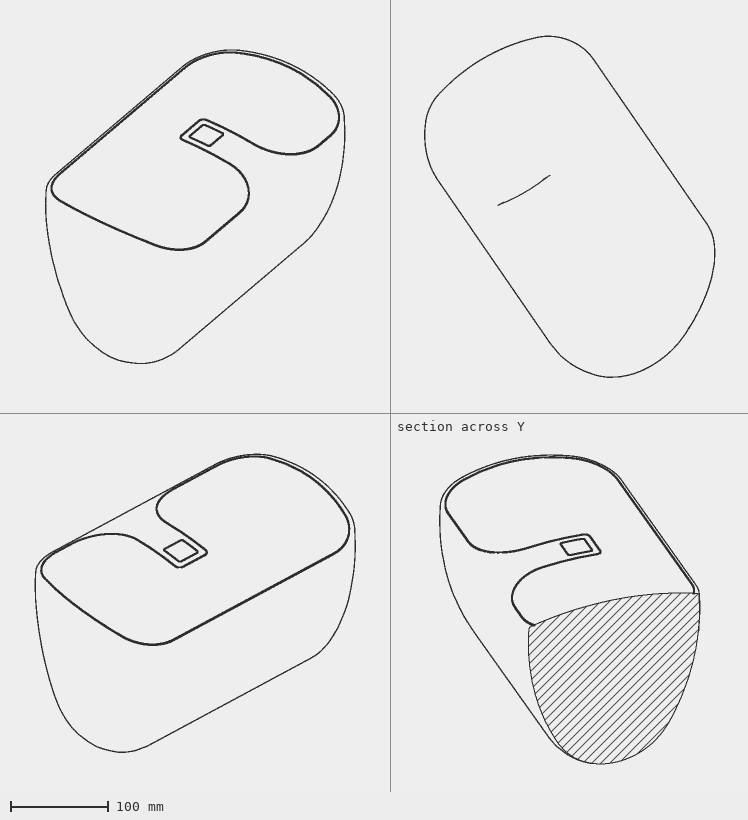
import math

import cadquery as cq

selection_margin = 0.5

half_width = 98.0
half_length = 164.81
height = 200.72
top_z = 35.2
bottom_z = top_z - height

side_radius = 258.0
side_centre_x = half_width - side_radius
belly_radius = (side_radius**2 - side_centre_x**2 - bottom_z**2) / (2 * (side_radius + bottom_z))
belly_centre_z = bottom_z + belly_radius

blank_overrun = 20.0
blank_top_overrun = 5.0
blank_top_z = top_z + blank_top_overrun

end_plan_radius = 229.0
end_upper_radius = 800.0
end_draft_start = 9.0
end_draft_upper_z = -30.0
end_draft_lower_z = -100.0
end_draft = math.radians(3.0)
corner_radius = 50.0

dome_radius = 338.0
dome_centre_z = top_z - dome_radius
rim_fillet = 3.2

groove_width = 1.0
groove_depth = 1.0
panel_inset = 5.0
panel_end_inset = 6.0
panel_corner_radius = corner_radius - panel_inset
tab_centre_y = 19.2
tab_width = 39.5
tab_end_x = -20.0
tab_end_radius = 5.0
tab_flare_radius = 48.0
button_length = 27.0
button_width = 26.0
button_corner_radius = 2.5
button_groove_width = 0.8

recess_half_length = 88.0
recess_z = -152.8
recess_corner_radius = 5.0
recess_edge_fillet = 3.0


def side_x(z):
    """Half-width of the bulging side at height z."""
    return side_centre_x + math.sqrt(side_radius**2 - z**2)


def body_prism():
    """Cross-section run along Y, longer than the finished body."""
    join_angle = math.atan2(belly_centre_z, -side_centre_x)
    join_x = side_centre_x + side_radius * math.cos(join_angle)
    join_z = side_radius * math.sin(join_angle)
    middle_z = (blank_top_z + join_z) / 2
    top_x = side_x(blank_top_z)
    return (
        cq.Workplane("XZ")
        .moveTo(-top_x, blank_top_z)
        .lineTo(top_x, blank_top_z)
        .threePointArc((side_x(middle_z), middle_z), (join_x, join_z))
        .threePointArc((0, bottom_z), (-join_x, join_z))
        .threePointArc((-side_x(middle_z), middle_z), (-top_x, blank_top_z))
        .close()
        .extrude(half_length + blank_overrun, both=True)
    )


def end_barrel(direction):
    """Turned solid whose outer face is the end wall on the +Y or -Y side."""
    floor_z = bottom_z - blank_overrun
    ceiling_z = blank_top_z + blank_overrun
    ceiling_r = end_plan_radius - end_upper_radius + math.sqrt(end_upper_radius**2 - ceiling_z**2)

    def drafted_point(z):
        return (end_plan_radius + (z + end_draft_start) * math.tan(end_draft), z)

    wall_points = [
        drafted_point(end_draft_lower_z),
        drafted_point(end_draft_upper_z),
        (end_plan_radius, 0),
        (ceiling_r, ceiling_z),
    ]
    return (
        cq.Workplane("XZ")
        .moveTo(0, floor_z)
        .lineTo(*drafted_point(floor_z))
        .spline(wall_points, includeCurrent=True)
        .lineTo(0, ceiling_z)
        .close()
        .revolve(360, (0, 0, 0), (0, 1, 0))
        .translate((0, direction * (half_length - end_plan_radius), 0))
    )


def dome(radius):
    """Cylinder along Y that the top surface lies on."""
    return (
        cq.Workplane("XZ")
        .center(0, dome_centre_z)
        .circle(radius)
        .extrude(2 * half_length, both=True)
    )


def rounded_body():
    """Prism closed by the two end walls, with the wall outlines rounded."""
    body = body_prism()
    for direction in (1, -1):
        body = body.intersect(end_barrel(direction))
    return body.edges().filter(is_end_outline).fillet(corner_radius)


def is_end_outline(edge):
    """True for edges where an end wall meets the sides or the belly."""
    box = edge.BoundingBox()
    is_belly = box.zmin < bottom_z + selection_margin
    is_side = box.zlen > selection_margin and box.ylen < half_length
    return is_belly or is_side


def panel_plan():
    """Plan block of the top panel: bowed ends, with a tab notched in from the +X side."""
    panel_x = half_width - panel_inset
    panel_y = half_length - panel_end_inset
    bow_radius = end_plan_radius - panel_inset
    corner_y = panel_y - bow_radius + math.sqrt(bow_radius**2 - panel_x**2)
    blank = (
        cq.Workplane("XY")
        .moveTo(panel_x, -corner_y)
        .lineTo(panel_x, corner_y)
        .threePointArc((0, panel_y), (-panel_x, corner_y))
        .lineTo(-panel_x, -corner_y)
        .threePointArc((0, -panel_y), (panel_x, -corner_y))
        .close()
        .extrude(height)
        .edges("|Z")
        .fillet(panel_corner_radius)
    )
    tab_length = 2 * half_width
    tab = (
        cq.Workplane("XY")
        .center(tab_end_x + tab_length / 2, tab_centre_y)
        .rect(tab_length, tab_width)
        .extrude(height)
        .edges("|Z and <X")
        .fillet(tab_end_radius)
    )
    flare_edges = cq.selectors.BoxSelector(
        (panel_x - selection_margin, tab_centre_y - tab_width, 0),
        (panel_x + selection_margin, tab_centre_y + tab_width, height),
    )
    return blank.cut(tab).edges("|Z").edges(flare_edges).fillet(tab_flare_radius)


def button_plan():
    """Plan block of the square button on the tab."""
    return (
        cq.Workplane("XY")
        .center(0, tab_centre_y)
        .rect(button_length, button_width)
        .extrude(height)
        .edges("|Z")
        .fillet(button_corner_radius)
    )


def outline_groove(plan, width):
    """Groove of even depth just inside the outline of a plan block."""
    inner = plan.faces(">Z").wires().toPending().offset2D(-width).extrude(-height, combine=False)
    top_skin = dome(dome_radius + groove_depth).cut(dome(dome_radius - groove_depth))
    return plan.cut(inner).intersect(top_skin)


def underside_recess():
    """Block, running right across X, that leaves a foot at each end."""
    block_height = recess_z - bottom_z + blank_overrun
    return (
        cq.Workplane("XY")
        .box(4 * half_width, 2 * recess_half_length, block_height)
        .edges("|X and >Z")
        .fillet(recess_corner_radius)
        .translate((0, 0, recess_z - block_height / 2))
    )


def cut_recess(body):
    """Cut the underside recess and round the edge where it meets the belly."""
    recess_space = cq.selectors.BoxSelector(
        (-half_width, -recess_half_length - selection_margin, bottom_z - selection_margin),
        (half_width, recess_half_length + selection_margin, recess_z + selection_margin),
    )
    recessed = body.cut(underside_recess())
    return recessed.edges(recess_space).edges("not |X").fillet(recess_edge_fillet)


body = rounded_body().intersect(dome(dome_radius))
body = body.faces(">Z").edges().fillet(rim_fillet)
body = cut_recess(body)
body = body.cut(outline_groove(panel_plan(), groove_width))
result = body.cut(outline_groove(button_plan(), button_groove_width))